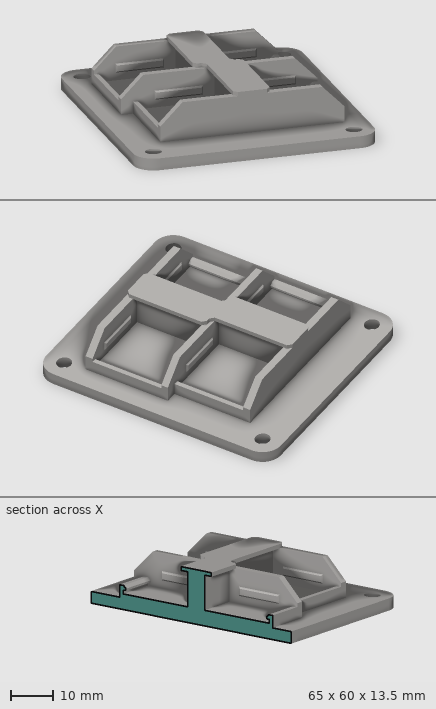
import cadquery as cq
plate_length = 65.0
plate_width = 60.0
plate_height = 3.0
corner_radius = 5.0
hole_spacing_x = 55.0
hole_spacing_y = 50.0
hole_size_x = 3.7
hole_size_y = 4.0

overall_height = 13.5
outer_wall = 1.95
middle_wall = 1.8
pocket_width = 19.05
holder_length = 45.9
stagger = 3.0
strip_height = 1.05
wall_top = overall_height - strip_height
end_slope = 5.5

floor_level = 3.95
lip_top = 6.05
lip_thickness = 1.25
rear_wall_offset = 2.6

hook_depth = 0.7
hook_slope_drop = 0.7
hook_face_height = 0.5

rib_length = 12.1
rib_height = 2.3
rib_depth = 0.4
rib_top = 8.2
rib_center_offset = 11.6
rib_taper = 45.0

strip_width = 9.15
strip_chamfer = 1.0

holder_shift = stagger / 2
holder_end = holder_length / 2
pocket_inner_x = middle_wall / 2
pocket_outer_x = pocket_inner_x + pocket_width
holder_outer_x = pocket_outer_x + outer_wall
pocket_center_x = (pocket_inner_x + pocket_outer_x) / 2
lip_inner_y = holder_end - lip_thickness


def box(x_range, y_range, z_range):
    """Box spanning the given (start, end) ranges."""
    spans = [sorted(r) for r in (x_range, y_range, z_range)]
    sizes = [end - start for start, end in spans]
    return cq.Workplane("XY").box(*sizes, centered=False).translate([start for start, end in spans])


def along_x(outline, x_start, x_end):
    """Closed (y, z) outline extruded from x_start to x_end."""
    return cq.Workplane("YZ", origin=(x_start, 0, 0)).polyline(outline).close().extrude(x_end - x_start)


def base_plate():
    """Plate with rounded corners and a slightly oval through hole near each corner."""
    plate = cq.Workplane("XY").box(plate_length, plate_width, plate_height, centered=(True, True, False))
    plate = plate.edges("|Z").fillet(corner_radius)
    holes = (
        cq.Workplane("XY")
        .rect(hole_spacing_x, hole_spacing_y, forConstruction=True)
        .vertices()
        .ellipse(hole_size_x / 2, hole_size_y / 2)
        .extrude(plate_height)
    )
    return plate.cut(holes)


def wall_block(x_start, x_end, y_start, y_end):
    """Raised block whose two ends slope back at 45 degrees up to the wall top."""
    slope_base = wall_top - end_slope
    outline = [
        (y_start, 0),
        (y_end, 0),
        (y_end, slope_base),
        (y_end - end_slope, wall_top),
        (y_start + end_slope, wall_top),
        (y_start, slope_base),
    ]
    return along_x(outline, x_start, x_end)


def strip():
    """Staggered strip with every vertical edge chamfered."""
    left = box(
        (-holder_outer_x, 0),
        (-strip_width / 2 - holder_shift, strip_width / 2 - holder_shift),
        (wall_top, overall_height),
    )
    right = left.rotate((0, 0, 0), (0, 0, 1), 180)
    return left.union(right).edges("|Z").chamfer(strip_chamfer)


def pocket_cavity(side, end):
    """Space of one pocket, open above its end lip; end is +1 or -1 along Y."""
    x_range = (side * pocket_inner_x, side * pocket_outer_x)
    shift = side * holder_shift
    inner = box(x_range, (shift + end * rear_wall_offset, shift + end * lip_inner_y), (floor_level, wall_top))
    over_lip = box(x_range, (shift + end * lip_inner_y, shift + end * holder_end), (lip_top, wall_top))
    return inner.union(over_lip)


def hook(side, end):
    """Bead on the lip: sloped on top, flat in front and undercut below."""
    shift = side * holder_shift
    face_y = shift + end * lip_inner_y
    tip_y = face_y - end * hook_depth
    face_top = lip_top - hook_slope_drop
    face_bottom = face_top - hook_face_height
    outline = [(face_y, lip_top), (tip_y, face_top), (tip_y, face_bottom), (face_y, face_bottom)]
    x_start, x_end = sorted((side * pocket_inner_x, side * pocket_outer_x))
    return along_x(outline, x_start, x_end)


def ribs(side, end):
    """Pair of tapered ribs facing each other across one pocket."""
    center_y = side * holder_shift + end * rib_center_offset
    center_z = rib_top - rib_height / 2
    rib = (
        cq.Workplane("YZ")
        .rect(rib_length, rib_height)
        .extrude(rib_depth, taper=rib_taper)
        .translate((-pocket_width / 2, 0, 0))
    )
    pair = rib.union(rib.mirror("YZ"))
    return pair.translate((side * pocket_center_x, center_y, center_z))


result = base_plate()
middle_end = holder_end + holder_shift
result = result.union(wall_block(-pocket_inner_x, pocket_inner_x, -middle_end, middle_end))
for side in (-1, 1):
    x_start, x_end = sorted((side * pocket_inner_x, side * holder_outer_x))
    shift = side * holder_shift
    result = result.union(wall_block(x_start, x_end, shift - holder_end, shift + holder_end))
for side in (-1, 1):
    for end in (-1, 1):
        result = result.cut(pocket_cavity(side, end))
        result = result.union(hook(side, end)).union(ribs(side, end))
result = result.union(strip())